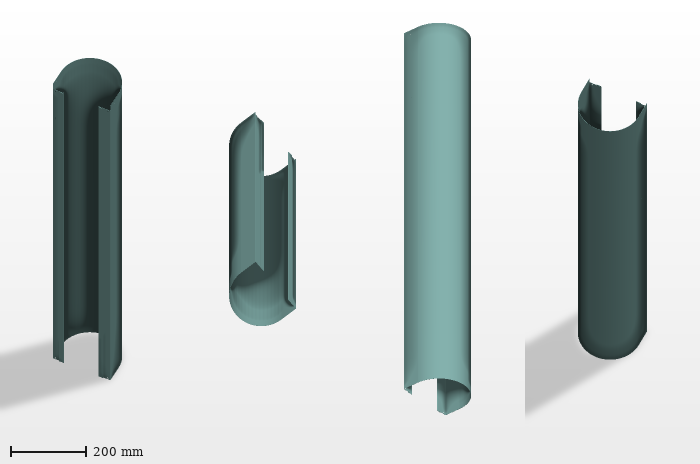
import cadquery as cq
import math

length = 1120.0
width = 172.0
depth = 137.5
sheet = 0.5

bend_radius = 1.0
flange_width = 34.5
hem_start = 20.0
hem_height = 2.5
top_relief = 20.0

flange_hole_diameter = 4.0
flange_hole_inset = 8.0
flange_hole_bottom = 5.0
flange_hole_top = 7.0

wall_hole_diameter = 2.5
wall_hole_setback = 25.0
wall_hole_drop = 13.0

outer_radius = width / 2
inner_radius = outer_radius - sheet
hem_front = outer_radius - depth
hem_back = hem_front + sheet
flange_back = hem_front + hem_height
flange_front = flange_back - sheet
wall_end = flange_front + bend_radius
flange_length = length - top_relief


def channel():
    """Half-round back with two straight side walls, full length."""
    return (
        cq.Workplane("XY")
        .moveTo(-outer_radius, wall_end)
        .lineTo(-outer_radius, 0)
        .threePointArc((0, outer_radius), (outer_radius, 0))
        .lineTo(outer_radius, wall_end)
        .lineTo(inner_radius, wall_end)
        .lineTo(inner_radius, 0)
        .threePointArc((0, inner_radius), (-inner_radius, 0))
        .lineTo(-inner_radius, wall_end)
        .close()
        .extrude(length)
    )


def left_flange():
    """Bend, inward flange and open hem folded back over its outer face."""
    bend_x = -outer_radius + bend_radius
    inner_bend_radius = bend_radius - sheet
    outer_reach = bend_radius * math.sqrt(0.5)
    inner_reach = inner_bend_radius * math.sqrt(0.5)

    fold_outer_radius = hem_height / 2
    fold_inner_radius = fold_outer_radius - sheet
    fold_x = -outer_radius + flange_width - fold_outer_radius
    fold_y = hem_front + fold_outer_radius
    hem_x = -outer_radius + hem_start

    return (
        cq.Workplane("XY")
        .moveTo(-outer_radius, wall_end)
        .threePointArc((bend_x - outer_reach, wall_end - outer_reach), (bend_x, flange_front))
        .lineTo(fold_x, flange_front)
        .threePointArc((fold_x + fold_inner_radius, fold_y), (fold_x, hem_back))
        .lineTo(hem_x, hem_back)
        .lineTo(hem_x, hem_front)
        .lineTo(fold_x, hem_front)
        .threePointArc((fold_x + fold_outer_radius, fold_y), (fold_x, flange_back))
        .lineTo(bend_x, flange_back)
        .threePointArc((bend_x - inner_reach, wall_end - inner_reach), (-inner_radius, wall_end))
        .close()
        .extrude(flange_length)
    )


def flange_holes():
    """Fixing holes near both ends of each flange, beside the hem."""
    hole_x = outer_radius - flange_hole_inset
    heights = (flange_hole_bottom, flange_length - flange_hole_top)
    return (
        cq.Workplane("XZ", origin=(0, flange_back, 0))
        .pushPoints([(x, z) for x in (-hole_x, hole_x) for z in heights])
        .circle(flange_hole_diameter / 2)
        .extrude(sheet)
    )


def wall_holes():
    """Aligned holes through both side walls near the top."""
    return (
        cq.Workplane("YZ", origin=(-outer_radius, 0, 0))
        .center(hem_front + wall_hole_setback, length - wall_hole_drop)
        .circle(wall_hole_diameter / 2)
        .extrude(width)
    )


flange = left_flange()
result = channel().union(flange).union(flange.mirror("YZ"))
result = result.cut(flange_holes()).cut(wall_holes())